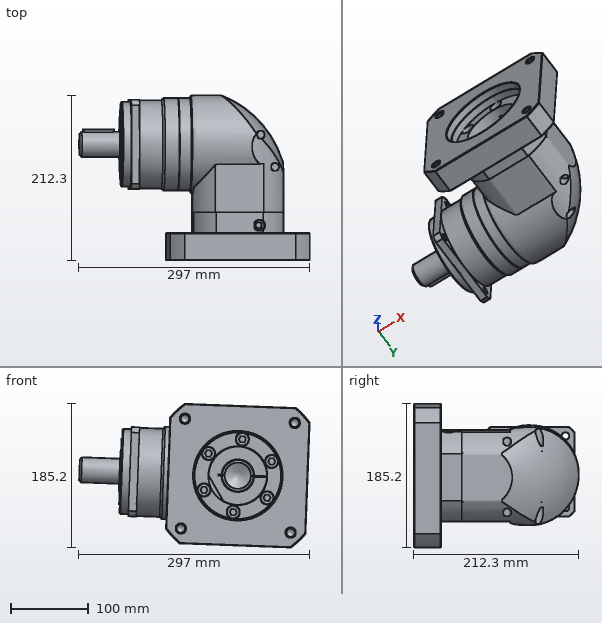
import cadquery as cq
import math

TILT = 2.15

ADAPTER_FRONT_Y = -149.0
PLATE_THICKNESS = 35.0
PLATE_BACK_Y = ADAPTER_FRONT_Y + PLATE_THICKNESS
SEAM_Y = -87.5

PLATE_SIDE = 180.0
PLATE_CORNER_R = 115.0
PLATE_EDGE_CHAMFER = 1.0
PILOT_R = 57.0
PILOT_DEPTH = 10.5
RECESS_R = 55.5
RECESS_DEPTH = 20.2
RECESS_FLOOR_Y = ADAPTER_FRONT_Y + RECESS_DEPTH
HUB_BORE_R = 38.0
MOTOR_HOLE_PITCH = 141.5
MOTOR_HOLE_R = 5.3
MOTOR_HOLE_DEPTH = 23.8
MOTOR_HOLE_CHAMFER = 1.5
ACCESS_HOLE_R = 7.0
ACCESS_HOLE_X = 26.0
ACCESS_HOLE_Y = -104.3

SCREW_COUNT = 6
SCREW_CIRCLE_R = 47.2
SCREW_START_ANGLE = 25
SCREW_HEAD_R = 8.0
SCREW_HEAD_HEIGHT = 10.0
SCREW_POCKET_R = 8.5
SCREW_POCKET_DEPTH = 22.5
SCREW_SHANK_R = 5.0
SCREW_SHANK_LENGTH = 35.5
SOCKET_ACROSS_CORNERS = 9.2
SOCKET_DEPTH = 5.0
SCREW_SEAT_Y = RECESS_FLOOR_Y + SCREW_POCKET_DEPTH

NECK_SIDE = 116.0
NECK_CORNER_R = 65.5
NECK_EDGE_CHAMFER = 1.2

HUB_R = 37.5
HUB_FACE_Y = ADAPTER_FRONT_Y + 38.3
HUB_FLAT_ANGLE = 212
HUB_FLAT_DISTANCE = HUB_R * math.cos(math.radians(30))
HUB_MOUTH_R = 21.0
HUB_MOUTH_DEPTH = 2.5
HUB_MOUTH_CHAMFER = 1.0
INPUT_BORE_R = 17.0
INPUT_BORE_DEPTH = 47.5
HUB_SLOT_WIDTH = 1.8
HUB_SLOT_DEPTH = 17.8
RELIEF_SLOT_END_X = -25.3
CLAMP_SCREW_R = 4.2

ELBOW_R = 63.3
ELBOW_FRONT_X = -56.5
DOME_R = 133.0
DOME_CENTER = (-69.5, -61.0, 0)
NECK_SHOULDER_Y = -25.3
OUTPUT_END_LOW_X = 25.8
OUTPUT_END_MID_X = 16.0
OUTPUT_END_HIGH_X = 18.5
OUTPUT_END_HIGH_Y = 9.0
COVER_HOLE_R = 5.2
COVER_HOLE_BOTTOM_Z = 32.7
COVER_HOLES = ((46.3, -29.0), (28.0, 12.5))

SHAFT_TIP_X = -204.0
SHAFT_R = 16.3
SHAFT_CHAMFER = 3.0
SHAFT_HOLE_R = 5.0
SHAFT_HOLE_DEPTH = 23.8
SHAFT_HOLE_COUNTERSINK_R = 7.0
KEY_START_X = -199.5
KEY_LENGTH = 40.7
KEY_WIDTH = 10.0
KEY_HEIGHT = 3.0
SEAL_FRONT_X = -152.5
SEAL_R = 25.3
COVER_FRONT_X = -151.5
COVER_R = 42.2
SPIGOT_FRONT_X = -150.5
SPIGOT_R = 55.0
SPIGOT_CHAMFER = 1.5
FLANGE_FRONT_X = -139.0
FLANGE_BODY_R = 57.0
RING_FRONT_X = -98.5
RING_R = 59.7
RING_CHAMFER = 3.0
GROOVE_X = -77.5
GROOVE_WIDTH = 1.0
GROOVE_DEPTH = 0.5
COLLAR_FRONT_X = -62.0
COLLAR_CREST_X = -60.5
COLLAR_CREST_R = 62.7
FLANGE_THICKNESS = 10.5
FLANGE_SIDE = 115.3
FLANGE_CORNER_R = 76.5
FLANGE_HOLE_PITCH = 92.0
FLANGE_HOLE_R = 4.8


def front_plane(y):
    """Workplane across the input axis at y, with its normal pointing to -Y."""
    return cq.Workplane("XZ", origin=(0, y, 0))


def disc(radius, front_y, back_y):
    """Cylinder on the input axis."""
    return front_plane(back_y).circle(radius).extrude(back_y - front_y)


def screw_positions():
    for i in range(SCREW_COUNT):
        angle = math.radians(SCREW_START_ANGLE + i * 360 / SCREW_COUNT)
        yield (SCREW_CIRCLE_R * math.cos(angle), SCREW_CIRCLE_R * math.sin(angle))


def turned_square(side, corner_r, front_y, back_y):
    """Square bar on the input axis with its corners turned down to a cylinder."""
    square = front_plane(back_y).rect(side, side).extrude(back_y - front_y)
    return square.intersect(disc(corner_r, front_y, back_y))


def screw_holes(radius, front_y, back_y):
    return front_plane(back_y).pushPoints(list(screw_positions())).circle(radius).extrude(back_y - front_y)


def make_motor_hole(x, z):
    """Blind hole with a chamfered mouth and a conical bottom."""
    front = ADAPTER_FRONT_Y
    profile = [
        (0, front),
        (MOTOR_HOLE_R + MOTOR_HOLE_CHAMFER, front),
        (MOTOR_HOLE_R, front + MOTOR_HOLE_CHAMFER),
        (MOTOR_HOLE_R, front + MOTOR_HOLE_DEPTH),
        (0, front + MOTOR_HOLE_DEPTH + MOTOR_HOLE_R / 2),
    ]
    hole = cq.Workplane("XY").polyline(profile).close().revolve(360, (0, 0), (0, 1))
    return hole.translate((x, 0, z))


def make_adapter():
    plate = turned_square(PLATE_SIDE, PLATE_CORNER_R, ADAPTER_FRONT_Y, PLATE_BACK_Y)
    plate = plate.cut(disc(PILOT_R, ADAPTER_FRONT_Y, ADAPTER_FRONT_Y + PILOT_DEPTH))
    plate = plate.faces("<Y or >Y").chamfer(PLATE_EDGE_CHAMFER)
    neck = turned_square(NECK_SIDE, NECK_CORNER_R, PLATE_BACK_Y, SEAM_Y)
    adapter = plate.union(neck)
    adapter = adapter.cut(disc(RECESS_R, ADAPTER_FRONT_Y, RECESS_FLOOR_Y))
    adapter = adapter.cut(disc(HUB_BORE_R, ADAPTER_FRONT_Y, SEAM_Y))
    pocket_front_y = ADAPTER_FRONT_Y + PILOT_DEPTH
    adapter = adapter.cut(screw_holes(SCREW_POCKET_R, pocket_front_y, SCREW_SEAT_Y))
    adapter = adapter.cut(screw_holes(SCREW_SHANK_R, SCREW_SEAT_Y, SEAM_Y))
    for x in (-MOTOR_HOLE_PITCH / 2, MOTOR_HOLE_PITCH / 2):
        for z in (-MOTOR_HOLE_PITCH / 2, MOTOR_HOLE_PITCH / 2):
            adapter = adapter.cut(make_motor_hole(x, z))
    access_hole = cq.Workplane("XY").center(ACCESS_HOLE_X, ACCESS_HOLE_Y).circle(ACCESS_HOLE_R)
    return adapter.cut(access_hole.extrude(NECK_SIDE))


def make_screw(x, z):
    """Socket head screw: its head sits on the pocket floor and its shank enters the housing."""
    head_top_y = SCREW_SEAT_Y - SCREW_HEAD_HEIGHT
    head = disc(SCREW_HEAD_R, head_top_y, SCREW_SEAT_Y)
    shank = disc(SCREW_SHANK_R, SCREW_SEAT_Y, SCREW_SEAT_Y + SCREW_SHANK_LENGTH)
    socket = front_plane(head_top_y + SOCKET_DEPTH).polygon(6, SOCKET_ACROSS_CORNERS).extrude(SOCKET_DEPTH)
    return head.union(shank).cut(socket).translate((x, 0, z))


def make_hub():
    """Slotted clamping hub with a flat on its rim."""
    hub = disc(HUB_R, HUB_FACE_Y, SEAM_Y)
    beyond_flat = cq.Workplane("XY").box(HUB_R, HUB_R * 4, HUB_R * 4, centered=(False, True, True))
    beyond_flat = beyond_flat.translate((HUB_FLAT_DISTANCE, HUB_FACE_Y, 0))
    return hub.cut(beyond_flat.rotate((0, 0, 0), (0, 1, 0), -HUB_FLAT_ANGLE))


def make_input_bore():
    """Stepped bore with a conical bottom, open at the hub face."""
    bottom_y = HUB_FACE_Y + INPUT_BORE_DEPTH
    profile = [
        (0, HUB_FACE_Y),
        (HUB_MOUTH_R, HUB_FACE_Y),
        (HUB_MOUTH_R - HUB_MOUTH_CHAMFER, HUB_FACE_Y + HUB_MOUTH_CHAMFER),
        (HUB_MOUTH_R - HUB_MOUTH_CHAMFER, HUB_FACE_Y + HUB_MOUTH_DEPTH),
        (INPUT_BORE_R, HUB_FACE_Y + HUB_MOUTH_DEPTH),
        (INPUT_BORE_R, bottom_y),
        (0, bottom_y + INPUT_BORE_R / 2),
    ]
    return cq.Workplane("XY").polyline(profile).close().revolve(360, (0, 0), (0, 1))


def make_hub_slots():
    """Clamping slot through the rim and a short relief slot opposite it."""
    length = HUB_R - RELIEF_SLOT_END_X
    slots = cq.Workplane("XY").box(length, HUB_SLOT_DEPTH, HUB_SLOT_WIDTH, centered=(False, False, True))
    return slots.translate((RELIEF_SLOT_END_X, HUB_FACE_Y, 0))


def make_output_barrel():
    """Stepped round body on the output axis, from the shaft tip to the elbow."""
    profile = [
        (SHAFT_TIP_X, 0),
        (SHAFT_TIP_X, SHAFT_R - SHAFT_CHAMFER),
        (SHAFT_TIP_X + SHAFT_CHAMFER, SHAFT_R),
        (SEAL_FRONT_X, SHAFT_R),
        (SEAL_FRONT_X, SEAL_R),
        (COVER_FRONT_X, SEAL_R),
        (COVER_FRONT_X, COVER_R),
        (SPIGOT_FRONT_X, COVER_R),
        (SPIGOT_FRONT_X, SPIGOT_R - SPIGOT_CHAMFER),
        (SPIGOT_FRONT_X + SPIGOT_CHAMFER, SPIGOT_R),
        (FLANGE_FRONT_X, SPIGOT_R),
        (FLANGE_FRONT_X, FLANGE_BODY_R),
        (RING_FRONT_X, FLANGE_BODY_R),
        (RING_FRONT_X + RING_CHAMFER, RING_R),
        (GROOVE_X, RING_R),
        (GROOVE_X, RING_R - GROOVE_DEPTH),
        (GROOVE_X + GROOVE_WIDTH, RING_R - GROOVE_DEPTH),
        (GROOVE_X + GROOVE_WIDTH, RING_R),
        (COLLAR_FRONT_X, RING_R),
        (COLLAR_CREST_X, COLLAR_CREST_R),
        (ELBOW_FRONT_X, ELBOW_R),
        (ELBOW_FRONT_X, 0),
    ]
    return cq.Workplane("XY").polyline(profile).close().revolve(360, (0, 0), (1, 0))


def make_neck():
    """Neck of the housing: square up to its shoulder, round above it beyond the output cylinder."""
    square_neck = turned_square(NECK_SIDE, NECK_CORNER_R, SEAM_Y, NECK_SHOULDER_Y)
    square_neck = square_neck.edges("|Y").chamfer(NECK_EDGE_CHAMFER)
    round_neck = disc(NECK_CORNER_R, NECK_SHOULDER_Y, ELBOW_R)
    corner = (
        cq.Workplane("XY")
        .moveTo(OUTPUT_END_LOW_X, NECK_SHOULDER_Y)
        .threePointArc((OUTPUT_END_MID_X, 0), (OUTPUT_END_HIGH_X, OUTPUT_END_HIGH_Y))
        .lineTo(NECK_SIDE / 2, NECK_SIDE / 2)
        .lineTo(NECK_SIDE / 2, NECK_SHOULDER_Y)
        .close()
        .extrude(NECK_CORNER_R, both=True)
    )
    return square_neck.union(round_neck.intersect(corner))


def make_output_end():
    """Output cylinder in the elbow, ended by an arc at the neck and running on above it."""
    outline = (
        cq.Workplane("XY")
        .moveTo(ELBOW_FRONT_X, -ELBOW_R)
        .lineTo(OUTPUT_END_LOW_X, -ELBOW_R)
        .lineTo(OUTPUT_END_LOW_X, NECK_SHOULDER_Y)
        .threePointArc((OUTPUT_END_MID_X, 0), (OUTPUT_END_HIGH_X, OUTPUT_END_HIGH_Y))
        .lineTo(NECK_SIDE / 2, NECK_SIDE / 2)
        .lineTo(NECK_SIDE / 2, ELBOW_R)
        .lineTo(ELBOW_FRONT_X, ELBOW_R)
        .close()
        .extrude(ELBOW_R, both=True)
    )
    bar = cq.Workplane("YZ", origin=(ELBOW_FRONT_X, 0, 0)).circle(ELBOW_R).extrude(2 * ELBOW_R)
    return outline.intersect(bar)


def make_elbow():
    """Output cylinder joined to the neck, both ended by a spherical cap."""
    dome = cq.Workplane("XY").sphere(DOME_R).translate(DOME_CENTER)
    return make_output_end().union(make_neck()).intersect(dome)


def make_cover_hole(x, y):
    """Matching blind holes from the +Z and -Z sides."""
    hole = cq.Workplane("XY", origin=(x, y, COVER_HOLE_BOTTOM_Z)).circle(COVER_HOLE_R).extrude(ELBOW_R)
    return hole.union(hole.mirror("XY"))


def make_key():
    """Round-ended key standing out of the +Y side of the shaft."""
    key_middle_x = KEY_START_X + KEY_LENGTH / 2
    key_top = front_plane(SHAFT_R + KEY_HEIGHT).center(key_middle_x, 0)
    return key_top.slot2D(KEY_LENGTH, KEY_WIDTH).extrude(SHAFT_R)


def make_shaft_hole():
    """Countersunk centre hole with a conical bottom."""
    bottom_x = SHAFT_TIP_X + SHAFT_HOLE_DEPTH
    profile = [
        (SHAFT_TIP_X, 0),
        (SHAFT_TIP_X, SHAFT_HOLE_COUNTERSINK_R),
        (SHAFT_TIP_X + SHAFT_HOLE_COUNTERSINK_R - SHAFT_HOLE_R, SHAFT_HOLE_R),
        (bottom_x, SHAFT_HOLE_R),
        (bottom_x + SHAFT_HOLE_R / 2, 0),
    ]
    return cq.Workplane("XY").polyline(profile).close().revolve(360, (0, 0), (1, 0))


def make_flange():
    square = cq.Workplane("YZ", origin=(FLANGE_FRONT_X, 0, 0)).rect(FLANGE_SIDE, FLANGE_SIDE)
    round_bar = cq.Workplane("YZ", origin=(FLANGE_FRONT_X, 0, 0)).circle(FLANGE_CORNER_R)
    flange = square.extrude(FLANGE_THICKNESS).intersect(round_bar.extrude(FLANGE_THICKNESS))
    holes = flange.faces("<X").workplane(origin=(FLANGE_FRONT_X, 0, 0))
    holes = holes.rect(FLANGE_HOLE_PITCH, FLANGE_HOLE_PITCH, forConstruction=True).vertices()
    return holes.hole(2 * FLANGE_HOLE_R)


def make_gearbox():
    gearbox = make_output_barrel().union(make_elbow()).union(make_hub()).union(make_flange())
    gearbox = gearbox.union(make_key()).cut(make_shaft_hole())
    gearbox = gearbox.cut(make_input_bore()).cut(make_hub_slots())
    for x, y in COVER_HOLES:
        gearbox = gearbox.cut(make_cover_hole(x, y))
    clamp_hole = cq.Workplane("XY").center(ACCESS_HOLE_X, ACCESS_HOLE_Y).circle(CLAMP_SCREW_R)
    gearbox = gearbox.cut(clamp_hole.extrude(HUB_R))
    shank_end_y = SCREW_SEAT_Y + SCREW_SHANK_LENGTH
    return gearbox.cut(screw_holes(SCREW_SHANK_R, SEAM_Y, shank_end_y))


adapter = make_adapter()
gearbox = make_gearbox()
screws = [make_screw(x, z) for x, z in screw_positions()]
bodies = [gearbox, adapter] + screws
tilted = [body.rotate((0, 0, 0), (0, 1, 0), TILT) for body in bodies]
result = cq.Compound.makeCompound([body.val() for body in tilted])